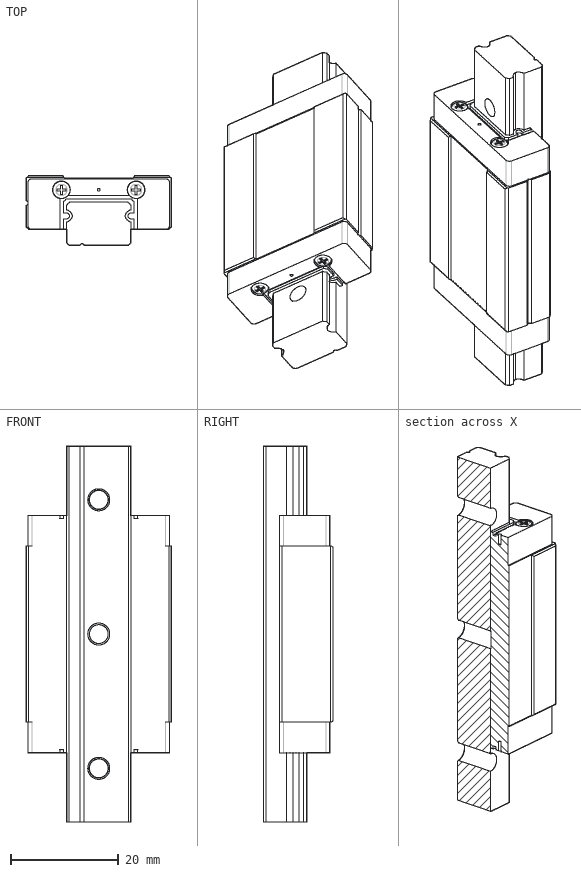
import cadquery as cq

rail_length = 70.0
rail_width = 12.0
rail_height = 8.1
rail_foot_chamfer = 0.5
rail_head_chamfer = 0.6
race_half_height = 1.15
race_depth = 1.1
race_arc_radius = 1.5
race_height = 5.5
mark_groove_x = -3.1
mark_groove_width = 0.8
mark_groove_depth = 0.3
hole_diameter = 3.5
hole_pitch = 25.0
hole_count = 3
hole_chamfer = 0.3
hole_chamfer_angle = 90

block_width = 27.0
block_length = 32.8
block_bottom = 3.0
assembly_height = 13.0
block_chamfer = 0.45
pad_height = 0.4
pad_gap = 12.8
pad_chamfer = 0.3
side_groove_height = 7.9
side_groove_width = 1.0
side_groove_depth = 0.5

cap_length = 5.7
cap_width = 26.4
cap_top = 12.4
cap_corner_radius = 0.75

seal_lip = 0.6
seal_recess_width = 0.65
seal_recess_depth = 0.6
screw_spacing = 13.9
screw_height = 10.35
screw_head_radius = 1.6
screw_edge_radius = 0.55
screw_bore_radius = 1.65
screw_bore_depth = 0.6
cross_slot_width = 0.35
cross_slot_length = 1.7
cross_slot_depth = 0.3
lube_hole_diameter = 0.5
lube_hole_depth = 2.0

half_rail = rail_width / 2
half_block = block_width / 2
carriage_half_length = block_length / 2 + cap_length


def box(x_size, y_range, z_range):
    """Box centred on X between two Y and two Z values."""
    y_size = y_range[1] - y_range[0]
    z_size = z_range[1] - z_range[0]
    solid = cq.Workplane("XY").box(x_size, y_size, z_size, centered=(True, False, False))
    return solid.translate((0, y_range[0], z_range[0]))


def cylinder(radius, x, y, z, length):
    """Cylinder along Z that starts at height z."""
    return cq.Workplane("XY", origin=(x, y, z)).circle(radius).extrude(length)


def prism_along_z(points, length):
    """Closed polygon extruded along Z, centred on Z = 0."""
    return cq.Workplane("XY").polyline(points).close().extrude(length / 2, both=True)


def ball_race():
    """Pointed-arch groove, two arcs meeting at its deepest line, in the -X flank of the rail."""
    return (
        cq.Workplane("XY")
        .moveTo(-half_rail, race_height - race_half_height)
        .radiusArc((-half_rail + race_depth, race_height), -race_arc_radius)
        .radiusArc((-half_rail, race_height + race_half_height), -race_arc_radius)
        .close()
        .extrude(rail_length / 2, both=True)
    )


def rail_bar():
    """Rail without its holes and marking groove; also the shape of the carriage's bore."""
    bar = box(rail_width, (0, rail_height), (-rail_length / 2, rail_length / 2))
    bar = bar.edges("|Z and <Y").chamfer(rail_foot_chamfer)
    bar = bar.edges("|Z and >Y").chamfer(rail_head_chamfer)
    race = ball_race()
    return bar.cut(race).cut(race.mirror("YZ"))


def make_rail():
    mark_groove = (
        cq.Workplane("XY")
        .moveTo(mark_groove_x - mark_groove_width / 2, 0)
        .threePointArc(
            (mark_groove_x, mark_groove_depth),
            (mark_groove_x + mark_groove_width / 2, 0),
        )
        .close()
        .extrude(rail_length / 2, both=True)
    )
    rail = rail_bar().cut(mark_groove)
    hole_plane = rail.faces("<Y").workplane(origin=(0, 0, 0))
    hole_spots = hole_plane.rarray(1, hole_pitch, 1, hole_count)
    return hole_spots.cskHole(hole_diameter, hole_diameter + 2 * hole_chamfer, hole_chamfer_angle)


def make_block():
    """Central block with two raised mounting pads and a reference groove on the -X side."""
    half_length = block_length / 2
    block = box(block_width, (block_bottom, assembly_height), (-half_length, half_length))
    block = block.faces(">Y").edges("|X").chamfer(pad_chamfer)
    block = block.edges("|Z and (<X or >X)").chamfer(block_chamfer)

    pad_floor = assembly_height - pad_height
    half_gap = pad_gap / 2
    pad_channel = prism_along_z(
        [
            (-half_gap, pad_floor),
            (half_gap, pad_floor),
            (half_gap + pad_chamfer, assembly_height),
            (-half_gap - pad_chamfer, assembly_height),
        ],
        block_length,
    )
    side_groove = prism_along_z(
        [
            (-half_block, side_groove_height - side_groove_width / 2),
            (-half_block, side_groove_height + side_groove_width / 2),
            (-half_block + side_groove_depth, side_groove_height),
        ],
        block_length,
    )
    return block.cut(pad_channel).cut(side_groove)


def seal_recess():
    """U-shaped recess around the sealing lip that hugs the rail."""
    floor = carriage_half_length - seal_recess_depth
    z_range = (floor, carriage_half_length)
    lip_width = rail_width + 2 * seal_lip
    lip_top = rail_height + seal_lip
    recess = box(
        lip_width + 2 * seal_recess_width,
        (block_bottom, lip_top + seal_recess_width),
        z_range,
    )
    lip = box(lip_width, (block_bottom, lip_top), z_range)
    lip = lip.edges("|Z and >Y").chamfer(rail_head_chamfer)

    tongue_radius = race_half_height - seal_lip
    tongues = box(
        lip_width,
        (race_height - tongue_radius, race_height + tongue_radius),
        z_range,
    ).cut(box(rail_width, (block_bottom, lip_top), z_range))
    for side in (-1, 1):
        tongues = tongues.union(
            cylinder(tongue_radius, side * half_rail, race_height, floor, seal_recess_depth)
        )
    return recess.cut(lip).union(tongues)


def screw_head(x):
    """Round-edged cross-slotted head that sits in its bore, level with the cap face."""
    head = cq.Workplane("XY").circle(screw_head_radius).extrude(screw_bore_depth)
    head = head.faces(">Z").edges().fillet(screw_edge_radius)
    slot_z = screw_bore_depth - cross_slot_depth
    slot = cq.Workplane("XY", origin=(0, 0, slot_z)).rect(cross_slot_length, cross_slot_width)
    slot = slot.extrude(cross_slot_depth)
    head = head.cut(slot).cut(slot.rotate((0, 0, 0), (0, 0, 1), 90))
    return head.translate((x, screw_height, carriage_half_length - screw_bore_depth))


def make_end_cap():
    """End cap on the +Z end of the block."""
    cap = box(cap_width, (block_bottom, cap_top), (block_length / 2, carriage_half_length))
    cap = cap.edges("|Z").fillet(cap_corner_radius)
    cap = cap.cut(seal_recess())
    for side in (-1, 1):
        x = side * screw_spacing / 2
        bore_floor = carriage_half_length - screw_bore_depth
        cap = cap.cut(cylinder(screw_bore_radius, x, screw_height, bore_floor, screw_bore_depth))
        cap = cap.union(screw_head(x))
    lube_floor = carriage_half_length - lube_hole_depth
    return cap.cut(cylinder(lube_hole_diameter / 2, 0, screw_height, lube_floor, lube_hole_depth))


def make_carriage():
    cap = make_end_cap()
    carriage = make_block().union(cap).union(cap.mirror("XY"))
    return carriage.cut(rail_bar())


rail = make_rail()
carriage = make_carriage()

result = cq.Compound.makeCompound([rail.val(), carriage.val()])